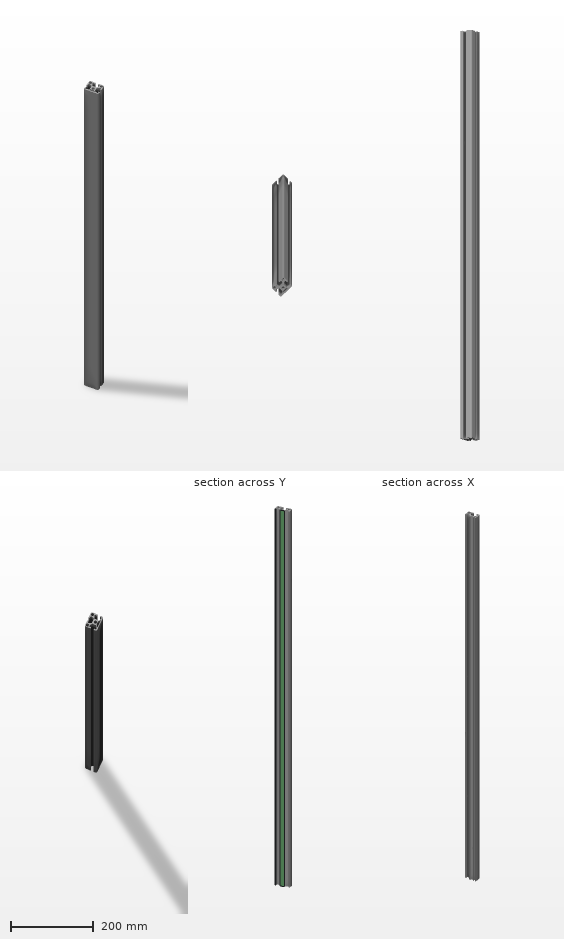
import cadquery as cq

width = 40.0
height = 32.0
length = 1000.0
corner_radius = 4.0

side_face = width / 2
bottom_y = -height / 2
core_y = height / 2 - side_face

slot_opening = 8.0
slot_mouth_chamfer = 0.4
lip_thickness = 3.3
slot_depth = 13.0
cavity_width = 18.4
cavity_floor_width = 12.0
cavity_straight = 2.7
cavity_radius = 1.0

bore_diameter = 7.5

corner_hollow_size = 6.8
corner_hollow_wall = 2.1
corner_hollow_radius = 1.5

base_wall = 2.4
base_hollow_width = cavity_width
base_hollow_top_width = 8.0
base_hollow_straight = 1.2
base_hollow_height = 4.6
base_hollow_radius = 0.7


def symmetric_prism(right_half):
    """Full-length prism whose outline is the given right half and its mirror image about x = 0."""
    left_half = [(-x, y) for x, y in reversed(right_half)]
    return cq.Workplane("XY").polyline(right_half + left_half).close().extrude(length)


def extrusion_body():
    """Solid bar with rounded long edges."""
    bar = cq.Workplane("XY").rect(width, height).extrude(length)
    return bar.edges("|Z").fillet(corner_radius)


def t_slot():
    """T-slot cutter opening toward +Y, placed about a core on the Z axis."""
    lip = side_face - lip_thickness
    floor = side_face - slot_depth
    cavity = symmetric_prism([
        (cavity_width / 2, lip),
        (cavity_width / 2, lip - cavity_straight),
        (cavity_floor_width / 2, floor),
    ])
    cavity = cavity.edges("|Z").fillet(cavity_radius)

    mouth = symmetric_prism([
        (slot_opening / 2 + slot_mouth_chamfer, side_face),
        (slot_opening / 2, side_face - slot_mouth_chamfer),
        (slot_opening / 2, floor),
    ])
    return cavity.union(mouth)


def corner_hollows():
    """Rounded square channels in the two upper corners, outside the slot cavities."""
    offset = cavity_width / 2 + corner_hollow_wall + corner_hollow_size / 2
    centres = [(side * offset, core_y + offset) for side in (-1, 1)]
    squares = cq.Workplane("XY").pushPoints(centres).rect(corner_hollow_size, corner_hollow_size)
    return squares.extrude(length).edges("|Z").fillet(corner_hollow_radius)


def core_bore():
    """Round channel along the core."""
    return cq.Workplane("XY").center(0, core_y).circle(bore_diameter / 2).extrude(length)


def base_hollow():
    """Channel between the core and the closed base, narrowing toward the core."""
    low = bottom_y + base_wall
    channel = symmetric_prism([
        (base_hollow_width / 2, low),
        (base_hollow_width / 2, low + base_hollow_straight),
        (base_hollow_top_width / 2, low + base_hollow_height),
    ])
    return channel.edges("|Z").fillet(base_hollow_radius)


result = extrusion_body()
slot = t_slot()
for slot_angle in (-90, 0, 90):
    turned_slot = slot.rotate((0, 0, 0), (0, 0, 1), slot_angle)
    result = result.cut(turned_slot.translate((0, core_y, 0)))
result = result.cut(corner_hollows())
result = result.cut(core_bore())
result = result.cut(base_hollow())